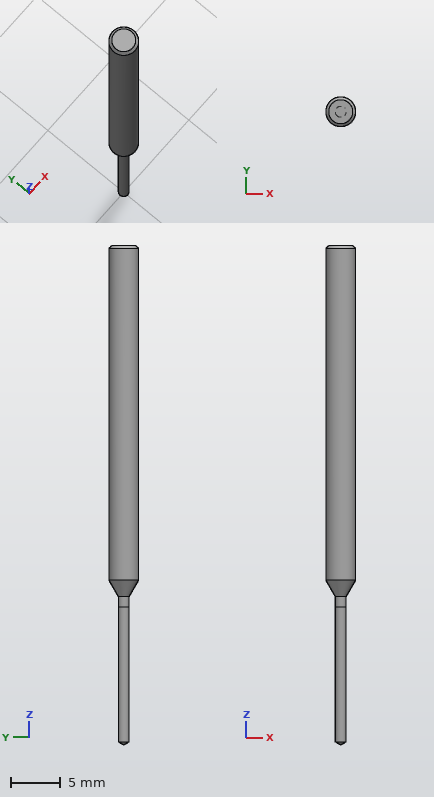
import cadquery as cq
import math

total_length = 50.0
shank_radius = 1.5
top_chamfer_width = 0.3
top_chamfer_height = 0.3
drill_radius = 0.55
point_angle = 118.0
joint_height = 13.8
neck_length = 1.05
shoulder_height = 16.5

point_height = drill_radius / math.tan(math.radians(point_angle / 2))
taper_bottom = joint_height + neck_length


def revolve_profile(points):
    """Revolve a closed (radius, height) profile around the Z axis."""
    return cq.Workplane("XZ").polyline(points).close().revolve(360, (0, 0, 0), (0, 1, 0))


def make_shank():
    """Cylindrical shank with a chamfered top, a taper and a short neck below it."""
    return revolve_profile([
        (0, joint_height),
        (drill_radius, joint_height),
        (drill_radius, taper_bottom),
        (shank_radius, shoulder_height),
        (shank_radius, total_length - top_chamfer_height),
        (shank_radius - top_chamfer_width, total_length),
        (0, total_length),
    ])


def make_drill():
    """Slim round drill with a conical point, butted against the neck."""
    return revolve_profile([
        (0, 0),
        (drill_radius, point_height),
        (drill_radius, joint_height),
        (0, joint_height),
    ])


shank = make_shank()
drill = make_drill()

result = cq.Compound.makeCompound([shank.val(), drill.val()])